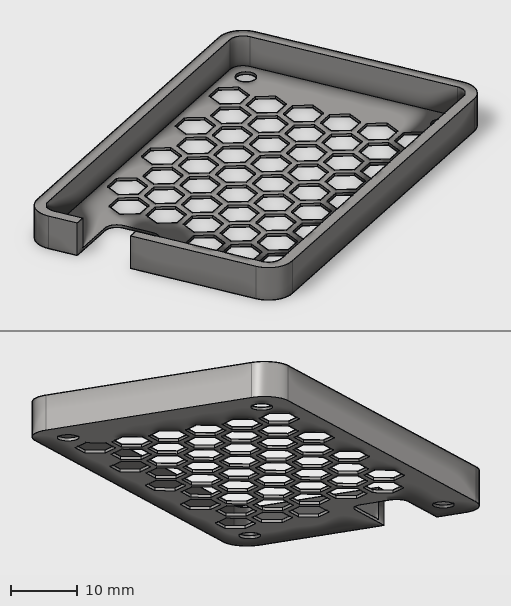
import cadquery as cq

width = 43.0
length = 67.0
height = 5.5
corner_radius = 4.0
wall = 1.8
floor = 0.5

screw_diameter = 3.2
screw_inset = 5.0

hex_sides = 6
hex_tip_to_tip = 6.0
hex_columns = 6
hex_rows = 9
hex_span_x = 31.3
hex_row_pitch = 5.5
hex_center_x = -0.3
hex_pitch = hex_span_x / (hex_columns - 1)
hex_skipped_columns = 3

notch_width = 9.0
notch_depth = 11.0
notch_center_x = -8.2
notch_radius = 2.0


def rounded_block(size_x, size_y, size_z, radius):
    """Block standing on Z = 0 with rounded vertical edges."""
    block = cq.Workplane("XY").box(size_x, size_y, size_z, centered=(True, True, False))
    return block.edges("|Z").fillet(radius)


def make_tray():
    outside = rounded_block(width, length, height, corner_radius)
    cavity = rounded_block(width - 2 * wall, length - 2 * wall, height - floor, corner_radius - wall)
    return outside.cut(cavity.translate((0, 0, floor)))


def make_screw_holes():
    spacing_x = width - 2 * screw_inset
    spacing_y = length - 2 * screw_inset
    return (
        cq.Workplane("XY")
        .rect(spacing_x, spacing_y, forConstruction=True)
        .vertices()
        .circle(screw_diameter / 2)
        .extrude(floor)
    )


def vent_centers():
    """Hexagon centres, row by row from the front (-Y) to the back (+Y)."""
    centers = []
    for row in range(hex_rows):
        is_short_row = row % 2 == 1
        columns = hex_columns - 1 if is_short_row else hex_columns
        first_column = hex_skipped_columns if row == 0 else 0
        y = (row - (hex_rows - 1) / 2) * hex_row_pitch
        for column in range(first_column, columns):
            x = hex_center_x + (column - (columns - 1) / 2) * hex_pitch
            centers.append((x, y))
    return centers


def make_vents():
    vent = cq.Sketch().regularPolygon(hex_tip_to_tip / 2, hex_sides)
    return cq.Workplane("XY").pushPoints(vent_centers()).placeSketch(vent).extrude(floor)


def make_notch():
    front_y = -length / 2
    notch = cq.Workplane("XY").box(notch_width, notch_depth, height, centered=(True, False, False))
    notch = notch.edges("|Z and >Y").fillet(notch_radius)
    return notch.translate((notch_center_x, front_y, 0))


result = make_tray().cut(make_screw_holes()).cut(make_vents()).cut(make_notch())